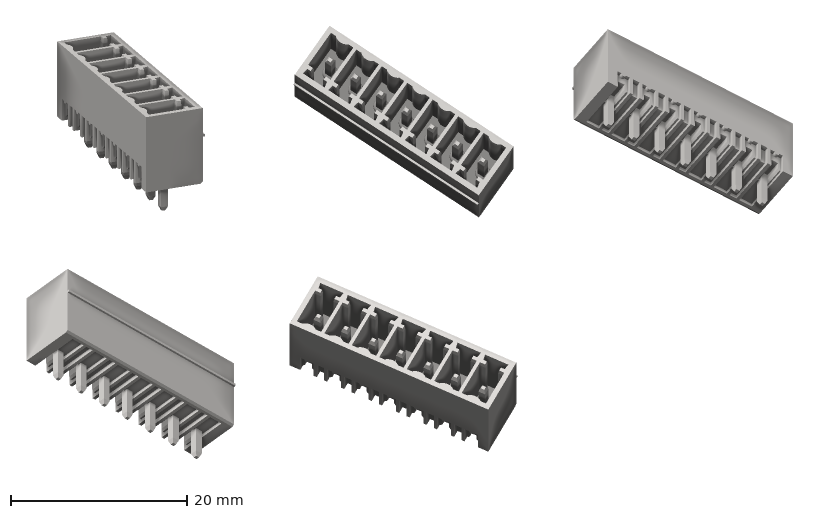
import cadquery as cq


LENGTH = 25.3
DEPTH = 7.0
HEIGHT = 9.2
PIN_COUNT = 7
END_MARGIN = 2.15
PITCH = (LENGTH - 2 * END_MARGIN) / (PIN_COUNT - 1)
REAR_CHAMFER_DEPTH = 0.28
REAR_CHAMFER_HEIGHT = 0.2

RIDGE_PROJECTION = 0.25
RIDGE_BOTTOM = 5.72
RIDGE_HEIGHT = 0.3

FRONT_WALL = 0.6
CHAMBER_FLOOR = 2.68
CHAMBER_WIDTH = 3.09
CHAMBER_REAR = 6.35
GUIDE_FRONT = 5.19
GUIDE_REAR = 5.65
GUIDE_GAP = 1.8
DOVETAIL_NECK = 2.7
DOVETAIL_WIDTH = 2.99

BULGE_WIDTH = 1.72
BULGE_RISE = 0.33

LEAD_IN_HEIGHT = 0.55
GUIDE_TIP_GROWTH = 0.1
GUIDE_FRONT_GROWTH = 0.08
BULGE_GROWTH = 0.08

PIN_Y = 3.0
PIN_SIDE = 0.85
PIN_TIP_SIDE = 0.43
PIN_TIP_LENGTH = 0.53
PIN_BOTTOM = -3.4
PIN_TOP = 8.0
COLLAR_DIAMETER = 1.8
COLLAR_ROUNDING = 0.23
COLLAR_HEIGHT = 0.25

SLOT_TOP = CHAMBER_FLOOR
PIN_SLOT_HALF_WIDTH = 0.89
END_SLOT_HALF_WIDTH = 0.8
PIN_SLOT_DEPTH = 0.45
PIN_CHANNEL_HEIGHT = 0.45
BETWEEN_SLOT_WIDTH = 0.9
BETWEEN_SLOT_DEPTH = 0.58
BETWEEN_CHANNEL_HEIGHT = 0.53
CHANNEL_REAR = CHAMBER_REAR
SLOT_LOBE_RADIUS = 0.3
PIN_NOTCH_TOP = 1.6
PIN_NOTCH_FLARE_WIDTH = 0.23
PIN_NOTCH_FLARE_HEIGHT = 0.28

FIRST_PIN_X = END_MARGIN - LENGTH / 2
PIN_XS = [FIRST_PIN_X + i * PITCH for i in range(PIN_COUNT)]


def block(x0, x1, y0, y1, z0, z1):
    """Box between two opposite corners."""
    return cq.Workplane("XY").box(x1 - x0, y1 - y0, z1 - z0, centered=False).translate((x0, y0, z0))


def make_housing():
    """Plain block with a chamfered lower rear edge and a ridge along the rear face."""
    ridge_top = RIDGE_BOTTOM + RIDGE_HEIGHT
    ridge_rear = DEPTH + RIDGE_PROJECTION
    outline = [
        (0, 0),
        (DEPTH - REAR_CHAMFER_DEPTH, 0),
        (DEPTH, REAR_CHAMFER_HEIGHT),
        (DEPTH, RIDGE_BOTTOM),
        (ridge_rear, RIDGE_BOTTOM),
        (ridge_rear, ridge_top),
        (DEPTH, ridge_top),
        (DEPTH, HEIGHT),
        (0, HEIGHT),
    ]
    return cq.Workplane("YZ").polyline(outline).close().extrude(LENGTH / 2, both=True)


def chamber_outline(z, guide_gap, guide_front, bulge_rise):
    """Closed chamber outline about X = 0 at height z, for the given guide ribs and bulge."""
    half = CHAMBER_WIDTH / 2
    gap = guide_gap / 2
    neck = DOVETAIL_NECK / 2
    tail = DOVETAIL_WIDTH / 2
    bulge = BULGE_WIDTH / 2
    return (
        cq.Workplane("XY", origin=(0, 0, z))
        .moveTo(-half, FRONT_WALL)
        .lineTo(-bulge, FRONT_WALL)
        .threePointArc((0, FRONT_WALL + bulge_rise), (bulge, FRONT_WALL))
        .lineTo(half, FRONT_WALL)
        .lineTo(half, guide_front)
        .lineTo(gap, guide_front)
        .lineTo(gap, GUIDE_REAR)
        .lineTo(neck, GUIDE_REAR)
        .lineTo(tail, CHAMBER_REAR)
        .lineTo(-tail, CHAMBER_REAR)
        .lineTo(-neck, GUIDE_REAR)
        .lineTo(-gap, GUIDE_REAR)
        .lineTo(-gap, guide_front)
        .lineTo(-half, guide_front)
        .close()
    )


def make_chamber():
    """Space inside one chamber: straight below, with sloped guide ribs and bulge at the mouth."""
    lead_in_start = HEIGHT - LEAD_IN_HEIGHT
    low_gap = GUIDE_GAP - 2 * GUIDE_TIP_GROWTH
    low_front = GUIDE_FRONT - GUIDE_FRONT_GROWTH
    low_rise = BULGE_RISE + BULGE_GROWTH
    well_outline = chamber_outline(CHAMBER_FLOOR, low_gap, low_front, low_rise)
    well = well_outline.extrude(lead_in_start - CHAMBER_FLOOR)
    lower_wire = chamber_outline(lead_in_start, low_gap, low_front, low_rise).wires().val()
    upper_wire = chamber_outline(HEIGHT, GUIDE_GAP, GUIDE_FRONT, BULGE_RISE).wires().val()
    mouth = cq.Workplane(cq.Solid.makeLoft([lower_wire, upper_wire], True))
    return well.union(mouth)


def make_pin():
    """Square pin with both ends tapered, and the rounded collar at its foot in the chamber."""

    def tip(shoulder_z, end_offset):
        return (
            cq.Workplane("XY", origin=(0, PIN_Y, shoulder_z))
            .rect(PIN_SIDE, PIN_SIDE)
            .workplane(offset=end_offset)
            .rect(PIN_TIP_SIDE, PIN_TIP_SIDE)
            .loft()
        )

    lower_shoulder = PIN_BOTTOM + PIN_TIP_LENGTH
    upper_shoulder = PIN_TOP - PIN_TIP_LENGTH
    shank = (
        cq.Workplane("XY", origin=(0, PIN_Y, lower_shoulder))
        .rect(PIN_SIDE, PIN_SIDE)
        .extrude(upper_shoulder - lower_shoulder)
    )
    collar = (
        cq.Workplane("XY", origin=(0, PIN_Y, CHAMBER_FLOOR))
        .circle(COLLAR_DIAMETER / 2)
        .extrude(COLLAR_HEIGHT)
        .faces(">Z")
        .edges()
        .fillet(COLLAR_ROUNDING)
    )
    lower_tip = tip(lower_shoulder, -PIN_TIP_LENGTH)
    upper_tip = tip(upper_shoulder, PIN_TIP_LENGTH)
    return shank.union(lower_tip).union(upper_tip).union(collar)


def make_pin_slot(left, right):
    """Front slot, channel and flared notch at a pin, reaching left and right of X = 0."""
    slot = block(-left, right, 0, PIN_SLOT_DEPTH, 0, SLOT_TOP)
    lobe = cq.Workplane("XZ", origin=(0, 0, SLOT_TOP)).circle(SLOT_LOBE_RADIUS).extrude(-PIN_SLOT_DEPTH)
    channel = block(-left, right, 0, CHANNEL_REAR, 0, PIN_CHANNEL_HEIGHT)
    half = PIN_SIDE / 2
    flare_half = half + PIN_NOTCH_FLARE_WIDTH
    flare_top = PIN_CHANNEL_HEIGHT + PIN_NOTCH_FLARE_HEIGHT
    notch = (
        cq.Workplane("XZ")
        .moveTo(-flare_half, PIN_CHANNEL_HEIGHT)
        .lineTo(flare_half, PIN_CHANNEL_HEIGHT)
        .lineTo(half, flare_top)
        .lineTo(half, PIN_NOTCH_TOP)
        .lineTo(-half, PIN_NOTCH_TOP)
        .lineTo(-half, flare_top)
        .close()
        .extrude(-PIN_Y)
    )
    return slot.cut(lobe).union(channel).union(notch)


def make_between_slot():
    """Front slot and channel midway between two pins, about X = 0."""
    half = BETWEEN_SLOT_WIDTH / 2
    slot = block(-half, half, 0, BETWEEN_SLOT_DEPTH, 0, SLOT_TOP)
    channel = block(-half, half, 0, CHANNEL_REAR, 0, BETWEEN_CHANNEL_HEIGHT)
    return slot.union(channel)


result = make_housing()

chamber = make_chamber()
for pin_x in PIN_XS:
    left_reach = END_SLOT_HALF_WIDTH if pin_x == PIN_XS[0] else PIN_SLOT_HALF_WIDTH
    right_reach = END_SLOT_HALF_WIDTH if pin_x == PIN_XS[-1] else PIN_SLOT_HALF_WIDTH
    pin_slot = make_pin_slot(left_reach, right_reach)
    result = result.cut(chamber.translate((pin_x, 0, 0)))
    result = result.cut(pin_slot.translate((pin_x, 0, 0)))

between_slot = make_between_slot()
for pin_x in PIN_XS[:-1]:
    result = result.cut(between_slot.translate((pin_x + PITCH / 2, 0, 0)))

pin = make_pin()
for pin_x in PIN_XS:
    result = result.union(pin.translate((pin_x, 0, 0)))